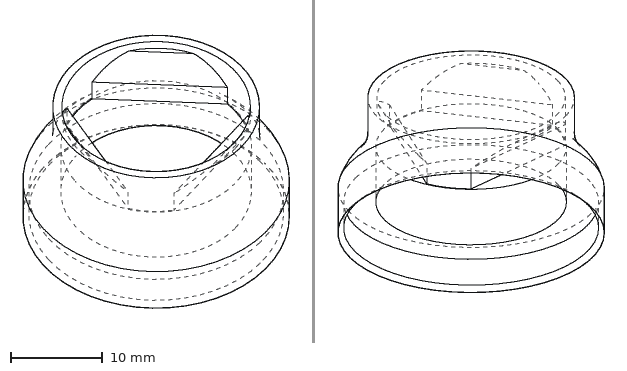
import cadquery as cq
import math

total_height = 16.5
base_radius = 29 / 2
base_height = 5.5

neck_radius = 22.5 / 2
flare_radius = 6.0
flare_sweep = math.radians(45)
shoulder_height = 8.0

neck_bore_radius = 20.5 / 2
throat_radius = 20.75 / 2
pocket_radius = 27.75 / 2
pocket_depth = 3.75
throat_top = 10.5
mouth_chamfer = 0.6

tab_count = 3
tab_first_angle = 30
tab_inner_distance = 7.125
tab_face_height = 2.5
tab_bevel = 2.5
tab_outer_radius = (neck_bore_radius + neck_radius) / 2


def flare_point(angle):
    """Radius and height of the flare arc, swept down from its tangent point on the neck."""
    radius = neck_radius + flare_radius * (1 - math.cos(angle))
    flare_top = shoulder_height + flare_radius * math.sin(flare_sweep)
    return radius, flare_top - flare_radius * math.sin(angle)


def make_body():
    """Ring with a wide base, a rounded shoulder and a concave flare into the neck."""
    profile = (
        cq.Workplane("XZ")
        .moveTo(base_radius, base_height)
        .lineTo(base_radius, 0)
        .lineTo(0, 0)
        .lineTo(0, total_height)
        .lineTo(neck_radius, total_height)
        .lineTo(*flare_point(0))
        .threePointArc(flare_point(flare_sweep / 2), flare_point(flare_sweep))
        .tangentArcPoint((base_radius, base_height), relative=False)
        .close()
    )
    return profile.revolve(360, (0, 0, 0), (0, 1, 0))


def make_bore():
    """Stepped through bore: chamfered mouth, wide pocket, throat and neck."""
    profile = (
        cq.Workplane("XZ")
        .lineTo(pocket_radius + mouth_chamfer, 0)
        .lineTo(pocket_radius, mouth_chamfer)
        .lineTo(pocket_radius, pocket_depth)
        .lineTo(throat_radius, pocket_depth)
        .lineTo(throat_radius, throat_top)
        .lineTo(neck_bore_radius, throat_top)
        .lineTo(neck_bore_radius, total_height)
        .lineTo(0, total_height)
        .close()
    )
    return profile.revolve(360, (0, 0, 0), (0, 1, 0))


def make_tab(angle):
    """Straight-fronted segment across the bore, bevelled at 45 degrees up toward the wall."""
    bevel_start = throat_top + tab_face_height
    bevel_end = bevel_start + tab_bevel
    prism = (
        cq.Workplane("XZ")
        .moveTo(tab_inner_distance, throat_top)
        .lineTo(tab_inner_distance, bevel_start)
        .lineTo(tab_inner_distance + tab_bevel, bevel_end)
        .lineTo(neck_radius, bevel_end)
        .lineTo(neck_radius, throat_top)
        .close()
        .extrude(neck_radius, both=True)
    )
    limit = cq.Workplane("XY").circle(tab_outer_radius).extrude(total_height)
    return prism.intersect(limit).rotate((0, 0, 0), (0, 0, 1), angle)


result = make_body().cut(make_bore())
for index in range(tab_count):
    result = result.union(make_tab(tab_first_angle + index * 360 / tab_count))